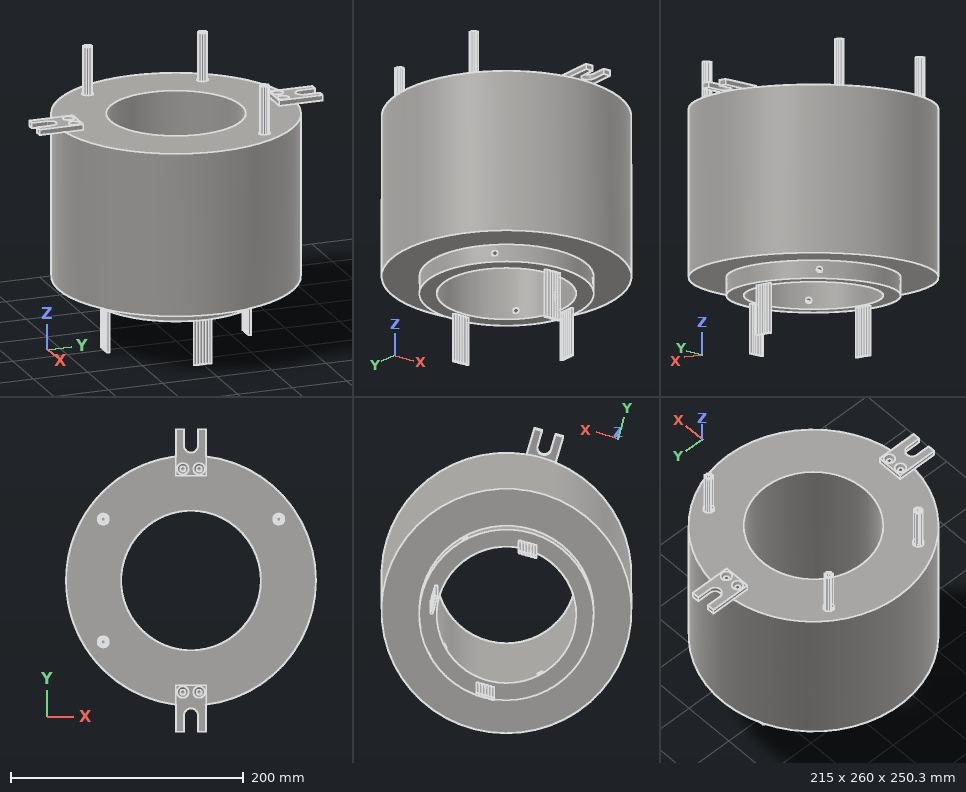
import cadquery as cq
import math

BODY_DIAMETER = 215.0
BODY_HEIGHT = 147.7
COLLAR_DIAMETER = 150.0
COLLAR_HEIGHT = 15.9
BORE_DIAMETER = 119.9

SET_SCREW_DIAMETER = 5.0
SET_SCREW_START_ANGLE = 45
SET_SCREW_COUNT = 4

LUG_SPAN = 260.0
LUG_WIDTH = 26.0
LUG_LENGTH = 40.0
LUG_THICKNESS = 5.0
FORK_SLOT_WIDTH = 12.0
FORK_SLOT_DEPTH = 20.0
LUG_SCREW_SPACING = 14.0
LUG_SCREW_EDGE_OFFSET = 6.0
LUG_SCREW_DIAMETER = 4.5
LUG_SCREW_DEPTH = 10.5
LUG_SCREW_TIP_ANGLE = 118
COUNTERSINK_DIAMETER = 10.0
COUNTERSINK_ANGLE = 90

CABLE_OFFSET_X = 75.5
CABLE_OFFSET_Y = 52.8
CABLE_LENGTH = 43.2
CABLE_RECESS_DIAMETER = 9.5
CABLE_RECESS_DEPTH = 5.2
CABLE_STRAND_COUNT = 8
CABLE_STRAND_DIAMETER = 2.0
CABLE_DIAMETER = 8.0
CABLE_STRAND_RING_RADIUS = (CABLE_DIAMETER - CABLE_STRAND_DIAMETER) / 2

WIRE_COUNT = 6
WIRE_DIAMETER = 2.5
WIRE_ROW_WIDTH = 16.5
WIRE_PITCH = (WIRE_ROW_WIDTH - WIRE_DIAMETER) / (WIRE_COUNT - 1)
WIRE_LENGTH = 43.5
WIRE_ROW_RADIUS = 65.0
WIRE_ROW_ANGLES = (-90, 0, 90)

BODY_BOTTOM = COLLAR_HEIGHT
BODY_TOP = BODY_BOTTOM + BODY_HEIGHT
LUG_TOP = BODY_TOP + LUG_THICKNESS


def cylinder(diameter, height, x, y, z):
    """Vertical cylinder standing on the given point."""
    base = cq.Workplane("XY", origin=(x, y, z))
    return base.circle(diameter / 2).extrude(height)


def make_body():
    collar = cylinder(COLLAR_DIAMETER, COLLAR_HEIGHT, 0, 0, 0)
    drum = cylinder(BODY_DIAMETER, BODY_HEIGHT, 0, 0, BODY_BOTTOM)
    bore = cylinder(BORE_DIAMETER, BODY_TOP, 0, 0, 0)
    return collar.union(drum).cut(bore)


def cut_set_screw_holes(body):
    """Radial holes through the collar wall at mid height."""
    for index in range(SET_SCREW_COUNT):
        angle = SET_SCREW_START_ANGLE + index * 360 / SET_SCREW_COUNT
        hole = (
            cq.Workplane("YZ", origin=(0, 0, COLLAR_HEIGHT / 2))
            .circle(SET_SCREW_DIAMETER / 2)
            .extrude(COLLAR_DIAMETER)
            .rotate((0, 0, 0), (0, 0, 1), angle)
        )
        body = body.cut(hole)
    return body


def make_lug_screw_hole(x, y):
    """Countersunk hole with a drill point, reaching from the lug top into the body."""
    hole_radius = LUG_SCREW_DIAMETER / 2
    sink_radius = COUNTERSINK_DIAMETER / 2
    sink_depth = (sink_radius - hole_radius) / math.tan(math.radians(COUNTERSINK_ANGLE / 2))
    tip_depth = hole_radius / math.tan(math.radians(LUG_SCREW_TIP_ANGLE / 2))
    return (
        cq.Workplane("XZ")
        .lineTo(sink_radius, 0)
        .lineTo(hole_radius, -sink_depth)
        .lineTo(hole_radius, -LUG_SCREW_DEPTH)
        .lineTo(0, -LUG_SCREW_DEPTH - tip_depth)
        .close()
        .revolve(360, (0, 0, 0), (0, 1, 0))
        .translate((x, y, LUG_TOP))
    )


def add_lug(body, angle):
    """Forked plate on the top face, pointing along +Y before it is turned by the angle."""
    outer_y = LUG_SPAN / 2
    inner_y = outer_y - LUG_LENGTH
    slot_radius = FORK_SLOT_WIDTH / 2
    arc_center_y = outer_y - FORK_SLOT_DEPTH + slot_radius
    plate = (
        cq.Workplane("XY", origin=(0, 0, BODY_TOP))
        .moveTo(-LUG_WIDTH / 2, inner_y)
        .lineTo(LUG_WIDTH / 2, inner_y)
        .lineTo(LUG_WIDTH / 2, outer_y)
        .lineTo(slot_radius, outer_y)
        .lineTo(slot_radius, arc_center_y)
        .threePointArc((0, arc_center_y - slot_radius), (-slot_radius, arc_center_y))
        .lineTo(-slot_radius, outer_y)
        .lineTo(-LUG_WIDTH / 2, outer_y)
        .close()
        .extrude(LUG_THICKNESS)
    )
    body = body.union(plate.rotate((0, 0, 0), (0, 0, 1), angle))
    screw_y = inner_y + LUG_SCREW_EDGE_OFFSET
    for side in (-1, 1):
        hole = make_lug_screw_hole(side * LUG_SCREW_SPACING / 2, screw_y)
        body = body.cut(hole.rotate((0, 0, 0), (0, 0, 1), angle))
    return body


def add_cable(body, x, y):
    """Ring of strands, half a step off the X axis, standing on the floor of a round recess."""
    floor = BODY_TOP - CABLE_RECESS_DEPTH
    body = body.cut(cylinder(CABLE_RECESS_DIAMETER, CABLE_RECESS_DEPTH, x, y, floor))
    for index in range(CABLE_STRAND_COUNT):
        angle = 2 * math.pi * (index + 0.5) / CABLE_STRAND_COUNT
        strand_x = x + CABLE_STRAND_RING_RADIUS * math.cos(angle)
        strand_y = y + CABLE_STRAND_RING_RADIUS * math.sin(angle)
        height = CABLE_RECESS_DEPTH + CABLE_LENGTH
        body = body.union(cylinder(CABLE_STRAND_DIAMETER, height, strand_x, strand_y, floor))
    return body


def add_wire_row(body, angle):
    """Tangential row of wires under the collar, centred on the given direction."""
    for index in range(WIRE_COUNT):
        offset = (index - (WIRE_COUNT - 1) / 2) * WIRE_PITCH
        wire = cylinder(WIRE_DIAMETER, WIRE_LENGTH, WIRE_ROW_RADIUS, offset, -WIRE_LENGTH)
        body = body.union(wire.rotate((0, 0, 0), (0, 0, 1), angle))
    return body


result = cut_set_screw_holes(make_body())

for lug_angle in (0, 180):
    result = add_lug(result, lug_angle)

for side_x, side_y in ((-1, -1), (-1, 1), (1, 1)):
    result = add_cable(result, side_x * CABLE_OFFSET_X, side_y * CABLE_OFFSET_Y)

for row_angle in WIRE_ROW_ANGLES:
    result = add_wire_row(result, row_angle)